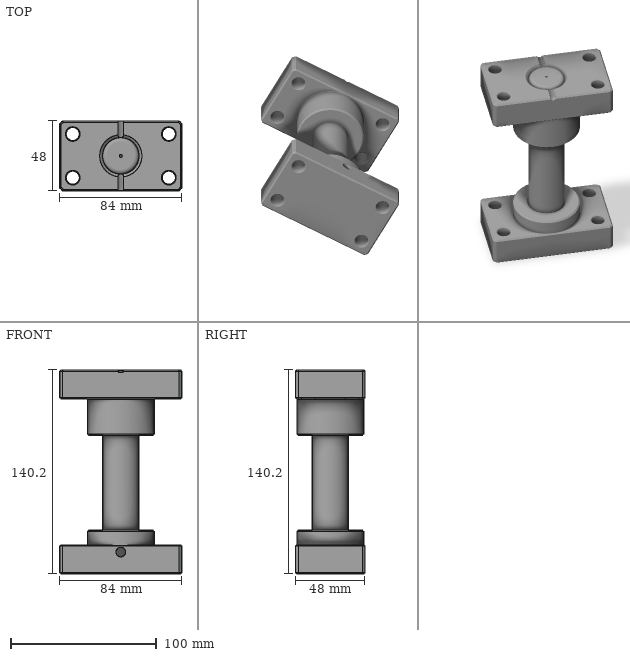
import cadquery as cq
total_height = 140.21
plate_length = 84.0
plate_width = 48.0
plate_thickness = 20.0
plate_corner_chamfer = 2.0
edge_chamfer = 1.0

mount_hole_dia = 9.0
mount_hole_chamfer = 0.5
mount_pitch_x = 66.0
mount_pitch_y = 30.0

collar_dia = 46.0
upper_collar_length = 25.0
lower_collar_length = 10.0
pin_dia = 25.0

upper_mouth_dia = 29.0
lower_mouth_dia = 27.0

pin_top_depth = 0.21
pin_end_radius = 3.0
center_hole_dia = 2.0
center_hole_depth = 2.0

oil_groove_radius = 2.0
set_screw_hole_dia = 6.6
set_screw_depth_below_face = 5.0

foot_fillet = 0.4

recess_dia = 48.0
recess_depth = 0.5
recess_offset_x = -0.5
recess_offset_y = 0.1

upper_plate_bottom = total_height - plate_thickness
collar_top = plate_thickness + lower_collar_length


def cylinder(diameter, bottom, top):
    return cq.Workplane("XY").workplane(offset=bottom).circle(diameter / 2).extrude(top - bottom)


def mounting_plate(bottom):
    """Chamfered rectangular plate with four chamfered through holes."""
    plate = (
        cq.Workplane("XY")
        .workplane(offset=bottom)
        .rect(plate_length, plate_width)
        .extrude(plate_thickness)
        .edges("|Z")
        .chamfer(plate_corner_chamfer)
        .faces("<Z or >Z")
        .edges()
        .chamfer(edge_chamfer)
    )
    holes = (
        cq.Workplane("XY")
        .workplane(offset=bottom)
        .rect(mount_pitch_x, mount_pitch_y, forConstruction=True)
        .vertices()
        .circle(mount_hole_dia / 2)
        .extrude(plate_thickness)
    )
    plate = plate.cut(holes)
    return plate.edges("%CIRCLE").chamfer(mount_hole_chamfer)


def mouth_cone(mouth_dia, face_height):
    """45 degree countersink that opens the pin bore at an upward face."""
    depth = (mouth_dia - pin_dia) / 2
    face_center = cq.Vector(0, 0, face_height)
    downward = cq.Vector(0, 0, -1)
    return cq.Workplane(cq.Solid.makeCone(mouth_dia / 2, pin_dia / 2, depth, face_center, downward))


def collar_foot(face_height, direction):
    """Collar end with a concave fillet flaring out to the plate face it stands on."""
    radius = collar_dia / 2
    tangent_height = face_height + direction * foot_fillet
    return (
        cq.Workplane("XZ")
        .moveTo(0, face_height)
        .lineTo(radius + foot_fillet, face_height)
        .radiusArc((radius, tangent_height), direction * foot_fillet)
        .lineTo(0, tangent_height)
        .close()
        .revolve(360, (0, 0), (0, 1))
    )


def upper_body():
    collar_bottom = upper_plate_bottom - upper_collar_length
    collar = cylinder(collar_dia, collar_bottom, upper_plate_bottom).faces("<Z").chamfer(edge_chamfer)
    face_width = plate_width - 2 * edge_chamfer
    foot = collar_foot(upper_plate_bottom, -1).intersect(
        cq.Workplane("XY").box(plate_length, face_width, 2 * total_height)
    )
    body = mounting_plate(upper_plate_bottom).union(collar).union(foot)
    body = body.cut(cylinder(pin_dia, collar_bottom, total_height))
    body = body.cut(mouth_cone(upper_mouth_dia, total_height))
    oil_grooves = (
        cq.Workplane("XZ")
        .center(0, total_height)
        .circle(oil_groove_radius)
        .extrude(plate_width / 2, both=True)
    )
    return body.cut(oil_grooves)


def collar_recess():
    """Ring-shaped pocket that leaves the lower collar and its fillet standing."""
    floor_height = plate_thickness - recess_depth
    pocket = (
        cq.Workplane("XY")
        .workplane(offset=floor_height)
        .center(recess_offset_x, recess_offset_y)
        .circle(recess_dia / 2)
        .extrude(recess_depth)
    )
    collar = cylinder(collar_dia, floor_height, plate_thickness)
    return pocket.cut(collar.union(collar_foot(floor_height, 1)))


def lower_body():
    collar = cylinder(collar_dia, plate_thickness, collar_top).faces(">Z").chamfer(edge_chamfer)
    body = mounting_plate(0).union(collar)
    body = body.cut(collar_recess())
    body = body.cut(cylinder(pin_dia, 0, collar_top))
    body = body.cut(mouth_cone(lower_mouth_dia, collar_top))
    set_screw_hole = (
        cq.Workplane("XZ")
        .center(0, plate_thickness - set_screw_depth_below_face)
        .circle(set_screw_hole_dia / 2)
        .extrude(plate_width / 2)
    )
    return body.cut(set_screw_hole)


def guide_pin():
    pin_top = total_height - pin_top_depth
    pin = cylinder(pin_dia, 0, pin_top).faces(">Z").edges().fillet(pin_end_radius)
    return pin.cut(cylinder(center_hole_dia, pin_top - center_hole_depth, pin_top))


upper = upper_body()
lower = lower_body()
pin = guide_pin()
result = cq.Compound.makeCompound([*upper.solids().vals(), *lower.solids().vals(), *pin.solids().vals()])